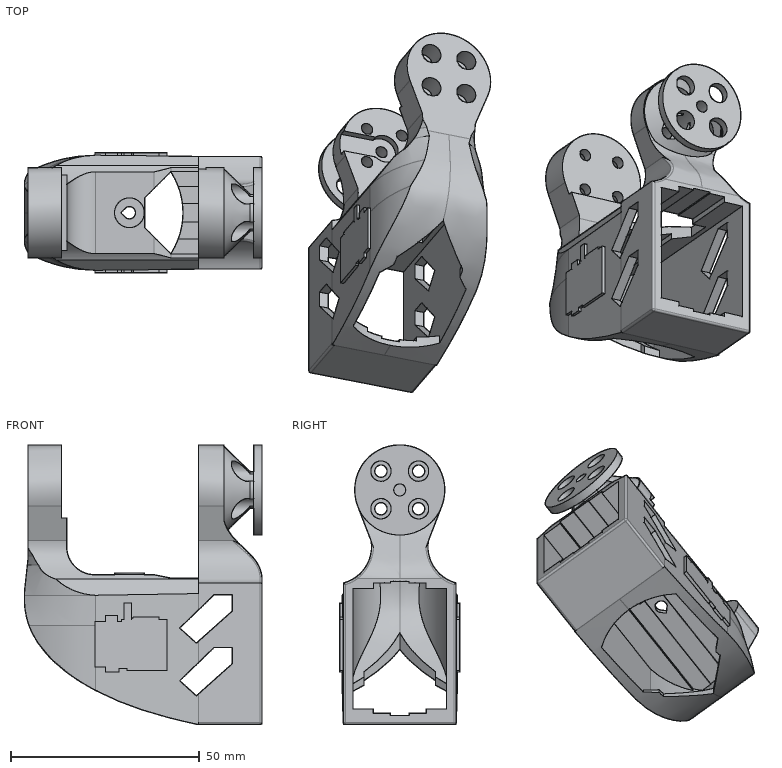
import cadquery as cq
import math


ear_radius = 12.0
arm_thickness = 9.0
foot_depth = 10.4
foot_top_z = -7.4
bulge_x = -0.94
rear_x = 45.3
ear_thickness = 6.8
box_length = 17.0
box_half_width = 15.0
side_half_width = 15.3
bottom_z = -62.4
roof_z = -22.5
roof_rear_z = -23.4
box_top_z = -24.7
edge_break = 0.6

neck_top_z = -13.5
neck_half_width = 7.65
wall = 2.6
floor_lift = 0.6

end_x = rear_x + box_length
ear_outer_x = rear_x + ear_thickness

skin_half_width = 10.2
plan_levels = [
    (bottom_z, skin_half_width),
    (-36.0, skin_half_width),
    (-28.0, 7.3),
    (-20.0, 4.5),
    (-17.5, 5.1),
    (neck_top_z, neck_half_width),
]

screw_pitch = 10.0
screw_diameter = 3.2
head_diameter = 5.4
arm_head_depth = 6.0

disc_thickness = 2.3
coupling_neck_radius = 4.9
coupling_neck_length = 0.9
cone_base_radius = 11.7

channel_width = 6.0
channel_depth = 2.0

boss_x = 27.0
boss_diameter = 7.9
boss_top_z = -22.04

cavity_half_width = 12.4
cavity_nose_half_width = 6.0
cavity_middle_half = 7.0
cavity_center_half = 2.5
floor_levels = (-58.2, -59.3, -59.9)
ceiling_levels = (-26.2, -24.7, -24.3)

roof_cut_bottom_z = -35.0
roof_cut_height = 20.0

pad_half_span = 16.0
pad_root_half = 14.0

vent_pitch = 14.0
vent_count = 2


def mirrored(half_outline):
    """Close a +Y half outline with its reflection across Y = 0."""
    return half_outline + [(-y, z) for y, z in reversed(half_outline)]


def ear_outline(length, start_x, shoulder_points):
    """Extrude along X the ear, its flared neck and the body below it."""
    neck_distance = math.hypot(neck_half_width, neck_top_z)
    neck_angle = math.atan2(-neck_top_z, neck_half_width)
    tangent_angle = neck_angle - math.acos(ear_radius / neck_distance)
    tangent_y = ear_radius * math.cos(tangent_angle)
    tangent_z = -ear_radius * math.sin(tangent_angle)
    flare_y, flare_z = 9.0, -20.3
    sketch = (
        cq.Workplane("YZ", origin=(start_x, 0, 0))
        .moveTo(-tangent_y, tangent_z)
        .threePointArc((0, ear_radius), (tangent_y, tangent_z))
        .lineTo(neck_half_width, neck_top_z)
        .threePointArc((flare_y, flare_z), shoulder_points[0])
    )
    for point in shoulder_points[1:]:
        sketch = sketch.lineTo(*point)
    for y, z in reversed(shoulder_points):
        sketch = sketch.lineTo(-y, z)
    return (
        sketch.threePointArc((-flare_y, flare_z), (-neck_half_width, neck_top_z))
        .close()
        .extrude(length)
    )


def extrude_side(sketch):
    """Extrude a closed XZ sketch symmetrically, beyond both sides of the part."""
    return sketch.extrude(pad_half_span + 1, both=True)


def skin_curve(sketch):
    """Run the curved skin from the bottom rear up to the outer arm face."""
    return sketch.spline(
        [
            (30, -58.35),
            (16.7, -52.6),
            (6.3, -45.0),
            (0.1, -35.5),
            (bulge_x, -28.0),
            (-0.4, -22.5),
            (0, -18.5),
        ],
        includeCurrent=True,
    )


def plan_section(z, front_half_width):
    """Horizontal section whose width grows from the skin to the body sides."""
    front_x = -1.0
    full_x = 18.0
    mid_x = 7.0
    mid_y = front_half_width + 0.68 * (side_half_width - front_half_width)
    return (
        cq.Workplane("XY", origin=(0, 0, z))
        .moveTo(front_x, -front_half_width)
        .lineTo(front_x, front_half_width)
        .threePointArc((mid_x, mid_y), (full_x, side_half_width))
        .lineTo(rear_x, box_half_width)
        .lineTo(rear_x, -box_half_width)
        .lineTo(full_x, -side_half_width)
        .threePointArc((mid_x, -mid_y), (front_x, -front_half_width))
        .close()
    )


def plan_envelope():
    """Limit of the body width: narrow at the arm root, wide lower down."""
    envelope = None
    for (low_z, low_width), (high_z, high_width) in zip(plan_levels, plan_levels[1:]):
        wires = [plan_section(low_z, low_width).val(), plan_section(high_z, high_width).val()]
        layer = cq.Workplane(obj=cq.Solid.makeLoft(wires, True))
        envelope = layer if envelope is None else envelope.union(layer)
    ear_space = (
        cq.Workplane("XY", origin=(0, 0, neck_top_z))
        .rect(4 * ear_radius, 4 * ear_radius)
        .extrude(ear_radius - neck_top_z)
    )
    return envelope.union(ear_space)


def arm_and_body():
    profile = (
        cq.Workplane("XZ")
        .moveTo(0, ear_radius)
        .lineTo(arm_thickness, ear_radius)
        .lineTo(arm_thickness, foot_top_z)
        .lineTo(foot_depth, foot_top_z)
        .lineTo(foot_depth, -14.5)
        .threePointArc((12.7, -20.5), (18.0, roof_z))
        .lineTo(33.5, roof_z)
        .lineTo(38.0, roof_rear_z)
        .lineTo(rear_x, roof_rear_z)
        .lineTo(rear_x, bottom_z)
    )
    side = extrude_side(skin_curve(profile).close())
    shoulder = [(12.5, -23.7), (side_half_width, -28.0), (side_half_width, bottom_z)]
    front = ear_outline(rear_x + 2, -2, shoulder)
    return side.intersect(front).intersect(plan_envelope())


def rear_ear_and_box():
    profile = (
        cq.Workplane("XZ")
        .moveTo(rear_x, ear_radius)
        .lineTo(ear_outer_x, ear_radius)
        .lineTo(ear_outer_x, -8.0)
        .spline([(56.2, -14.3), (60.4, -18.6), (end_x, -23.5)], includeCurrent=True)
        .lineTo(end_x, bottom_z)
        .lineTo(rear_x, bottom_z)
        .close()
    )
    shoulder = [(box_half_width, box_top_z), (box_half_width, bottom_z)]
    solid = extrude_side(profile).intersect(ear_outline(box_length, rear_x, shoulder))
    outer_edges = solid.faces(">X").edges().add(solid.edges("|X and <Z"))
    return outer_edges.fillet(edge_break)


def coupling():
    disc_x = end_x - disc_thickness
    neck_x = disc_x - coupling_neck_length
    root_x = rear_x + ear_thickness / 2
    return (
        cq.Workplane("XY")
        .moveTo(root_x, 0)
        .lineTo(root_x, cone_base_radius)
        .lineTo(ear_outer_x, cone_base_radius)
        .lineTo(neck_x, coupling_neck_radius)
        .lineTo(disc_x, coupling_neck_radius)
        .lineTo(disc_x, ear_radius)
        .lineTo(end_x, ear_radius)
        .lineTo(end_x, 0)
        .close()
        .revolve(360, (0, 0, 0), (1, 0, 0))
    )


def cavity():
    """Hollow interior with stepped floor and ceiling, open at the rear."""
    floor_outer, floor_middle, floor_center = floor_levels
    ceiling_outer, ceiling_middle, ceiling_center = ceiling_levels
    half = [
        (cavity_center_half, ceiling_center),
        (cavity_center_half, ceiling_middle),
        (cavity_middle_half, ceiling_middle),
        (cavity_middle_half, ceiling_outer),
        (cavity_half_width, ceiling_outer),
        (cavity_half_width, floor_outer),
        (cavity_middle_half, floor_outer),
        (cavity_middle_half, floor_middle),
        (cavity_center_half, floor_middle),
        (cavity_center_half, floor_center),
    ]
    tunnel = (
        cq.Workplane("YZ", origin=(bulge_x, 0, 0))
        .polyline(mirrored(half))
        .close()
        .extrude(2 * end_x)
    )
    profile = (
        cq.Workplane("XZ")
        .moveTo(2 * end_x, roof_z)
        .lineTo(2 * end_x, bottom_z)
        .lineTo(rear_x, bottom_z)
    )
    inner_side = extrude_side(skin_curve(profile).lineTo(0, roof_z).close())
    inner_side = inner_side.translate((wall, 0, floor_lift))
    nose = plan_section(bottom_z, cavity_nose_half_width).offset2D(-wall).extrude(-bottom_z)
    box_run = cq.Workplane("XY").box(
        2 * box_length + 2 * wall, 2 * cavity_half_width, -bottom_z, centered=(False, True, False)
    )
    plan = nose.union(box_run.translate((rear_x - 2 * wall, 0, bottom_z)))
    return tunnel.intersect(inner_side).intersect(plan)


def skin_window():
    """Opening through the lower skin: pointed at the front, round at the rear."""
    step_y = 9.45
    apex_x = 4.0
    step_x = apex_x + step_y
    step_length = 2.0
    side_x = apex_x + cavity_half_width + step_length
    arc_side_x = 36.9
    arc_tip_x = 41.2
    window_height = 30.0
    return (
        cq.Workplane("XY", origin=(0, 0, bottom_z - 1))
        .moveTo(apex_x, 0)
        .lineTo(step_x, step_y)
        .lineTo(step_x + step_length, step_y)
        .lineTo(side_x, cavity_half_width)
        .lineTo(arc_side_x, cavity_half_width)
        .threePointArc((arc_tip_x, 0), (arc_side_x, -cavity_half_width))
        .lineTo(side_x, -cavity_half_width)
        .lineTo(step_x + step_length, -step_y)
        .lineTo(step_x, -step_y)
        .close()
        .extrude(window_height)
    )


def roof_opening():
    front_x, front_half = 31.1, 4.0
    rear_half = 10.9
    corner_x = front_x + rear_half - front_half
    half = [(front_x, front_half), (corner_x, rear_half), (rear_x, rear_half)]
    outline = half + [(x, -y) for x, y in reversed(half)]
    return (
        cq.Workplane("XY", origin=(0, 0, roof_cut_bottom_z))
        .polyline(outline)
        .close()
        .extrude(roof_cut_height)
    )


def boss():
    base_z = ceiling_levels[-1]
    return (
        cq.Workplane("XY", origin=(boss_x, 0, base_z))
        .circle(boss_diameter / 2)
        .extrude(boss_top_z - base_z)
    )


def boss_hole():
    """Vertical teardrop hole with its point toward -X."""
    radius = screw_diameter / 2
    tangent = radius / math.sqrt(2)
    return (
        cq.Workplane("XY", origin=(boss_x, 0, roof_cut_bottom_z))
        .moveTo(-tangent, tangent)
        .threePointArc((radius, 0), (-tangent, -tangent))
        .lineTo(-2 * tangent, 0)
        .close()
        .extrude(roof_cut_height)
    )


def x_cylinders(points, diameter, start_x, stop_x):
    """Cylinders along X, centred on the given (Y, Z) points."""
    return (
        cq.Workplane("YZ", origin=(start_x, 0, 0))
        .pushPoints(points)
        .circle(diameter / 2)
        .extrude(stop_x - start_x)
    )


def screw_holes():
    offset = screw_pitch / 2
    corners = [(y, z) for y in (-offset, offset) for z in (-offset, offset)]
    holes = x_cylinders(corners + [(0, 0)], screw_diameter, rear_x - 1, end_x + 1)
    holes = holes.union(x_cylinders(corners, screw_diameter, -1, foot_depth + 1))
    holes = holes.union(x_cylinders(corners, head_diameter, -1, arm_head_depth))
    return holes.union(x_cylinders(corners, head_diameter, ear_outer_x, end_x + 1))


def wire_channel():
    """Channel from the +Y rim of the right ear to a round pocket at its centre."""
    straight = cq.Workplane("XY").box(
        channel_depth, 2 * ear_radius, channel_width, centered=(False, False, True)
    )
    pocket = x_cylinders([(0, 0)], boss_diameter, rear_x, rear_x + channel_depth)
    return straight.translate((rear_x, 0, 0)).union(pocket)


def side_vents():
    outline = [(40.4, -36.7), (49.5, -27.9), (54.3, -27.9), (54.3, -32.2), (44.8, -40.7)]
    vent = extrude_side(cq.Workplane("XZ").polyline(outline).close())
    vents = vent
    for index in range(1, vent_count):
        vents = vents.union(vent.translate((0, 0, -index * vent_pitch)))
    return vents


def side_pads():
    """Thin raised pads with a stepped outline, one on each side."""
    outline = [
        (17.8, -34.9), (20.6, -34.9), (20.6, -33.4), (23.9, -33.4), (23.9, -34.9), (24.9, -34.9),
        (24.9, -34.4), (25.6, -34.4), (25.6, -30.1), (27.5, -30.1), (27.5, -34.4), (28.1, -33.8),
        (34.8, -33.8), (34.8, -34.4), (37.0, -34.4), (37.0, -48.0), (26.3, -48.0), (26.3, -47.5),
        (24.3, -47.5), (24.3, -48.4), (20.6, -48.4), (20.6, -47.1), (17.8, -47.1),
    ]
    pad = cq.Workplane("XZ").polyline(outline).close().extrude(pad_half_span - pad_root_half)
    right_pad = pad.translate((0, -pad_root_half, 0))
    return right_pad.union(right_pad.mirror("XZ"))


result = (
    arm_and_body()
    .union(rear_ear_and_box())
    .union(coupling())
    .union(side_pads())
    .cut(cavity())
    .union(boss())
    .cut(boss_hole())
    .cut(roof_opening())
    .cut(skin_window())
    .cut(side_vents())
    .cut(wire_channel())
    .cut(screw_holes())
)